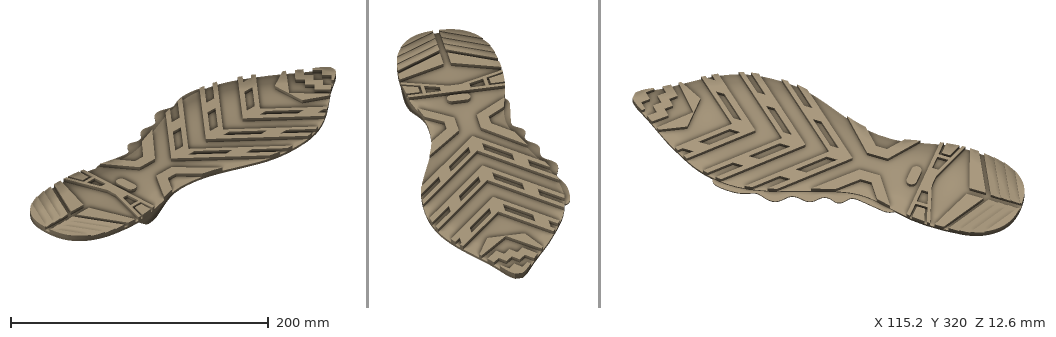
import cadquery as cq


BASE_T = 2.0
LUG_H = 3.0
SOLE_T = BASE_T + LUG_H
WING_T = 1.0
ARCH_DEPTH = 7.54
REACH = 80.0
OVERCUT = 1.0

SOLE_LENGTH = 319.94
TIP_HALF_WIDTH = 2.9
OUTER_SIDE = [
    (-6.3, 316.6), (-14.0, 305.5), (-27.9, 286.7), (-40.3, 267.4), (-48.5, 252.0), (-53.5, 236.6),
    (-55.7, 219.7), (-54.0, 201.9), (-48.8, 182.6), (-41.0, 161.9), (-34.2, 142.6), (-30.5, 125.3),
    (-30.8, 113.7), (-33.2, 102.1), (-37.1, 86.2), (-39.5, 73.2), (-40.4, 59.7), (-39.9, 42.4),
    (-37.6, 27.0), (-30.8, 13.0), (-20.2, 3.9),
]
INNER_SIDE = [
    (18.3, 3.9), (28.9, 13.0), (36.1, 27.0), (38.9, 40.5), (40.3, 57.8), (39.1, 73.2),
    (36.6, 86.2), (32.8, 100.2), (30.5, 111.8), (30.2, 125.3), (32.8, 142.6), (38.5, 160.0),
    (47.7, 182.6), (53.0, 200.4), (54.7, 219.7), (53.6, 236.6), (49.6, 252.0), (41.9, 267.4),
    (27.9, 286.7), (14.5, 304.5), (7.2, 315.8),
]

WING_EDGE = [
    (-54.0, 235.1), (-57.8, 232.7), (-59.7, 227.4), (-60.47, 219.7), (-60.0, 211.0), (-57.8, 204.3),
    (-55.6, 198.5), (-56.9, 192.7), (-58.6, 187.0), (-58.2, 181.6), (-54.9, 177.3), (-49.3, 172.0),
    (-48.7, 164.8), (-49.6, 159.0), (-47.4, 153.7), (-42.2, 148.9), (-40.9, 143.6), (-42.9, 135.9),
    (-41.0, 132.3), (-35.5, 128.0), (-35.2, 117.6), (-37.1, 106.0), (-38.4, 98.3), (-36.0, 91.5),
]
WING_ROOT_X = -28.0

ARCH_INNER_WALL = [
    (29.6, 116.0), (29.9, 103.0), (30.2, 94.0), (30.7, 85.0), (31.6, 79.5), (33.0, 74.0),
    (35.3, 68.5), (40.5, 60.5),
]
ARCH_PROFILE = [
    (116.0, 0.4), (103.7, 1.2), (90.4, 4.8), (82.3, 7.1), (77.0, ARCH_DEPTH), (71.9, 7.1),
    (67.3, 4.8), (60.5, 0.0),
]

TOOTH_AXIS_X = 0.9
TOOTH_HALF_PITCH = 5.2
TOOTH_HEIGHT = 5.2
ZIGZAG_PITCH = 9.6
ZIGZAG_PEAK_YS = [312.2 - ZIGZAG_PITCH * row for row in range(3)]
TOE_V_TIP = (0.3, 270.8)
TOE_V_SLOPE = 0.89
TOE_CAP_END_Y = 270.3
TOE_CAP_END_HALF_WIDTH = 14.8
TOE_CAP_SIDE_SLOPE = 1.88

CHEVRON_APEX_YS = [238.6, 197.2, 158.4]
CHEVRON_APEX_X = -0.3
CHEVRON_WIDTH = 19.3
OUTER_SLOPE = 0.91
INNER_SLOPE = 1.08
POCKET_NEAR = 5.6
POCKET_FAR = 25.8
EDGE_POCKET_START = 36.0
POCKET_TOP = 5.1
OUTER_POCKET_BOTTOM = 14.0
INNER_POCKET_BOTTOM = 12.1

BRACE_AXIS_X = -0.3
BRACE_NEAR_X = 8.8
BRACE_NEAR_YS = (130.1, 113.1)
BRACE_FAR_X = 17.6
BRACE_FAR_YS = (126.0, 116.9)
BRACE_FRONT_SLOPE = 0.94
BRACE_REAR_SLOPE = 0.69

OVAL_LENGTH = 18.7
OVAL_WIDTH = 8.1
OVAL_Y = 88.3

BAR_FRONT_Y = 80.5
BAR_REAR_Y = 71.9
BAR_REAR_FLAT = 4.6
BAR_REAR_SLOPE = 0.325
BAR_POCKET_FRONT_Y = 77.6
BAR_POCKET_X = (11.7, 23.5)
BAR_POCKET_MARGIN = 2.75
BAR_MOAT_X = 26.2
BAR_MOAT_WIDTH = 2.0

HEEL_AXIS_X = -0.2
HEEL_BLOCK_X = 3.0
HEEL_BLOCK_YS = (43.6, 29.9)
HEEL_BLOCK_FRONT_SLOPE = 0.35
RAMP_X = 2.5
RAMP_SLOPE = 0.52
RAMP_PITCH = 8.1
RAMP_START_Y = 24.4
RAMP_COUNT = 3
RAMP_DROP = 0.9


def prism(points, bottom, top):
    return cq.Workplane("XY").workplane(offset=bottom).polyline(points).close().extrude(top - bottom)


def lug(points):
    return prism(points, BASE_T, SOLE_T)


def pocket(points):
    return prism(points, BASE_T, SOLE_T + OVERCUT)


def sole_prism(bottom, top):
    """The outline: one curve around the heel, closed by the flat at the toe tip."""
    start = (-TIP_HALF_WIDTH, SOLE_LENGTH)
    around = OUTER_SIDE + [(0.0, 0.0)] + INNER_SIDE + [(TIP_HALF_WIDTH, SOLE_LENGTH)]
    outline = cq.Workplane("XY").workplane(offset=bottom).moveTo(*start)
    return outline.spline(around, includeCurrent=True).close().extrude(top - bottom)


def wing():
    edge = cq.Workplane("XY").moveTo(*WING_EDGE[0]).spline(WING_EDGE[1:], includeCurrent=True)
    root = edge.lineTo(WING_ROOT_X, WING_EDGE[-1][1]).lineTo(WING_ROOT_X, WING_EDGE[0][1])
    return root.close().extrude(WING_T)


def arch_support():
    """Region between a curved inner wall and the outline, with a curved lower edge."""
    first, last = ARCH_INNER_WALL[0], ARCH_INNER_WALL[-1]
    plan = cq.Workplane("XY").workplane(offset=-ARCH_DEPTH - OVERCUT).moveTo(*first)
    plan = plan.spline(ARCH_INNER_WALL[1:], includeCurrent=True)
    plan = plan.lineTo(REACH, last[1]).lineTo(REACH, first[1]).close()
    plan = plan.extrude(ARCH_DEPTH + OVERCUT + WING_T)

    lower_edge = [(y, -depth) for y, depth in ARCH_PROFILE]
    side = cq.Workplane("YZ").moveTo(*lower_edge[0]).spline(lower_edge[1:], includeCurrent=True)
    side = side.lineTo(lower_edge[-1][0], WING_T).lineTo(lower_edge[0][0], WING_T).close()
    return plan.intersect(side.extrude(REACH)).intersect(sole_prism(-ARCH_DEPTH - OVERCUT, WING_T))


def zigzag(peak_y):
    """Two teeth whose outer flanks run on past the outline, from -X to +X."""
    valley_y = peak_y - TOOTH_HEIGHT
    flank = REACH - 2 * TOOTH_HALF_PITCH
    flank_y = valley_y + flank * TOOTH_HEIGHT / TOOTH_HALF_PITCH
    teeth = [
        (TOOTH_AXIS_X + step * TOOTH_HALF_PITCH, valley_y if step % 2 == 0 else peak_y)
        for step in range(-2, 3)
    ]
    return [(TOOTH_AXIS_X - REACH, flank_y)] + teeth + [(TOOTH_AXIS_X + REACH, flank_y)]


def toe_lugs():
    tip_edge, band_front, band_rear = [zigzag(y) for y in ZIGZAG_PEAK_YS]
    tip = lug(tip_edge)
    band = lug(band_front + band_rear[::-1])

    side_reach = REACH - TOE_CAP_END_HALF_WIDTH
    side_y = TOE_CAP_END_Y + side_reach * TOE_CAP_SIDE_SLOPE
    cap = lug([
        (-REACH, side_y),
        (-TOE_CAP_END_HALF_WIDTH, TOE_CAP_END_Y),
        (TOE_CAP_END_HALF_WIDTH, TOE_CAP_END_Y),
        (REACH, side_y),
    ])
    v_x, v_y = TOE_V_TIP
    v_side_y = v_y + REACH * TOE_V_SLOPE
    above_v = [
        (v_x - REACH, v_side_y), TOE_V_TIP, (v_x + REACH, v_side_y),
        (v_x + REACH, SOLE_LENGTH + REACH), (v_x - REACH, SOLE_LENGTH + REACH),
    ]
    return [tip, band, cap.cut(pocket(above_v))]


def chevron(apex_y):
    def upper_edge(offset):
        """Point of the upper edge at a signed distance from the chevron axis."""
        slope = OUTER_SLOPE if offset < 0 else INNER_SLOPE
        return (CHEVRON_APEX_X + offset, apex_y + abs(offset) * slope)

    def band(offsets, top, bottom):
        edge = [upper_edge(offset) for offset in offsets]
        return [(x, y - top) for x, y in edge] + [(x, y - bottom) for x, y in reversed(edge)]

    body = lug(band([-REACH, 0, REACH], 0, CHEVRON_WIDTH))
    for side, bottom in ((-1, OUTER_POCKET_BOTTOM), (1, INNER_POCKET_BOTTOM)):
        for start, end in ((POCKET_NEAR, POCKET_FAR), (EDGE_POCKET_START, REACH)):
            body = body.cut(pocket(band([side * start, side * end], POCKET_TOP, bottom)))
    return body


def brace(side):
    def edge(near_x, ys):
        run = REACH - near_x
        front = (BRACE_AXIS_X + side * REACH, ys[0] + run * BRACE_FRONT_SLOPE)
        rear = (BRACE_AXIS_X + side * REACH, ys[1] - run * BRACE_REAR_SLOPE)
        knee_x = BRACE_AXIS_X + side * near_x
        return [front, (knee_x, ys[0]), (knee_x, ys[1]), rear]

    return lug(edge(BRACE_NEAR_X, BRACE_NEAR_YS) + edge(BRACE_FAR_X, BRACE_FAR_YS)[::-1])


def oval_stud():
    plane = cq.Workplane("XY").workplane(offset=BASE_T).center(0, OVAL_Y)
    return plane.slot2D(OVAL_LENGTH, OVAL_WIDTH).extrude(LUG_H)


def heel_bar():
    def rear_y(x):
        return BAR_REAR_Y - (x - BAR_REAR_FLAT) * BAR_REAR_SLOPE

    def panel(side, near, far, front_y, margin):
        return [
            (side * near, front_y), (side * far, front_y),
            (side * far, rear_y(far) + margin), (side * near, rear_y(near) + margin),
        ]

    body = lug([
        (-REACH, BAR_FRONT_Y), (REACH, BAR_FRONT_Y), (REACH, rear_y(REACH)),
        (BAR_REAR_FLAT, BAR_REAR_Y), (-BAR_REAR_FLAT, BAR_REAR_Y), (-REACH, rear_y(REACH)),
    ])
    for side in (-1, 1):
        inner = panel(side, *BAR_POCKET_X, BAR_POCKET_FRONT_Y, BAR_POCKET_MARGIN)
        moat = panel(side, BAR_MOAT_X, REACH, BAR_POCKET_FRONT_Y, BAR_POCKET_MARGIN)
        block = panel(
            side, BAR_MOAT_X + BAR_MOAT_WIDTH, REACH,
            BAR_POCKET_FRONT_Y - BAR_MOAT_WIDTH, BAR_POCKET_MARGIN + BAR_MOAT_WIDTH,
        )
        body = body.cut(pocket(inner)).cut(pocket(moat)).union(lug(block))
    return body


def heel_lugs(side):
    """A plain block, then ramps falling towards the back, then a flat corner."""
    def at(offset, y):
        return (HEEL_AXIS_X + side * offset, y)

    run = REACH - HEEL_BLOCK_X
    block = lug([
        at(HEEL_BLOCK_X, HEEL_BLOCK_YS[0]), at(HEEL_BLOCK_X, HEEL_BLOCK_YS[1]),
        at(REACH, HEEL_BLOCK_YS[1] + run * RAMP_SLOPE),
        at(REACH, HEEL_BLOCK_YS[0] + run * HEEL_BLOCK_FRONT_SLOPE),
    ])

    section = [(RAMP_START_Y, BASE_T)]
    for ramp in range(RAMP_COUNT):
        front_y = RAMP_START_Y - ramp * RAMP_PITCH
        section += [(front_y, SOLE_T), (front_y - RAMP_PITCH, SOLE_T - RAMP_DROP)]
    corner_y = RAMP_START_Y - RAMP_COUNT * RAMP_PITCH
    section += [(corner_y, SOLE_T), (corner_y - REACH, SOLE_T), (corner_y - REACH, BASE_T)]
    sweep = cq.Vector(side * REACH, REACH * RAMP_SLOPE, 0)
    face = cq.Face.makeFromWires(cq.Wire.makePolygon(
        [cq.Vector(HEEL_AXIS_X, y, z) for y, z in section], close=True))
    ramps = cq.Workplane(obj=cq.Solid.extrudeLinear(face, sweep))
    centre_groove = cq.Workplane("XY").box(2 * RAMP_X, 4 * REACH, 4 * SOLE_T)
    return [block, ramps.cut(centre_groove.translate((HEEL_AXIS_X, 0, 0)))]


lugs = toe_lugs() + [chevron(y) for y in CHEVRON_APEX_YS] + [oval_stud(), heel_bar()]
for hand in (-1, 1):
    lugs += [brace(hand)] + heel_lugs(hand)

tread = cq.Workplane("XY").box(2 * REACH, 3 * SOLE_LENGTH, BASE_T, centered=(True, True, False))
for piece in lugs:
    tread = tread.union(piece)
result = tread.intersect(sole_prism(0, SOLE_T)).union(wing()).union(arch_support())